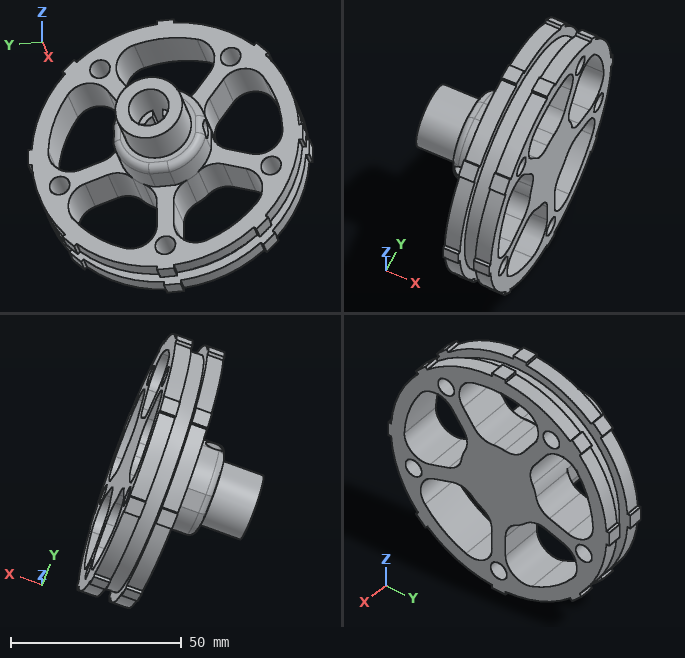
import cadquery as cq
import math

shaft_length = 13.0
hub_length = 11.0
flange_width = 5.0
groove_width = 5.0
wheel_width = 2 * flange_width + groove_width
hub_start = shaft_length
wheel_start = hub_start + hub_length

tread_reach = 41.0
tread_width = 5.0
tread_count = 8
flange_radius = 40.0
groove_radius = 74.0 / 2

spoke_count = 5
spoke_width = 5.0
window_outer_radius = 35.0
window_corner_radius = 7.2
spoke_hole_diameter = 6.0
spoke_hole_radius = 33.2

hub_radius = 14.0
hub_flat_width = 6.0
hub_edge_radius = 2.5
cross_hole_diameter = 5.4
cross_hole_x = 16.8

shaft_diameter = 20.0
bore_diameter = 12.0
bore_depth = shaft_length
key_core_diameter = 8.0
key_slot_width = 3.1
key_depth = hub_length


def disc(radius, start, length):
    """Cylinder about the X axis."""
    return cq.Workplane("YZ").workplane(offset=start).circle(radius).extrude(length)


def bar(start, length, width, height):
    """Rectangular bar along the X axis, centred on that axis."""
    return cq.Workplane("YZ").workplane(offset=start).rect(width, height).extrude(length)


def flange(start):
    """Rim flange with evenly spaced tread blocks on its edge."""
    body = disc(flange_radius, start, flange_width)
    for index in range(tread_count // 2):
        tread_pair = bar(start, flange_width, tread_width, 2 * tread_reach)
        body = body.union(tread_pair.rotate((0, 0, 0), (1, 0, 0), index * 360 / tread_count))
    return body


def window_cutter():
    """Rounded opening between two spokes, centred on +Z."""
    half_angle = math.pi / spoke_count
    half_spoke = spoke_width / 2

    def spoke_side_point(radius):
        angle = half_angle - math.asin(half_spoke / radius)
        return radius * math.sin(angle), radius * math.cos(angle)

    inner_y, inner_z = spoke_side_point(hub_radius)
    outer_y, outer_z = spoke_side_point(window_outer_radius)
    return (
        cq.Workplane("YZ")
        .workplane(offset=wheel_start)
        .moveTo(-inner_y, inner_z)
        .lineTo(-outer_y, outer_z)
        .threePointArc((0, window_outer_radius), (outer_y, outer_z))
        .lineTo(inner_y, inner_z)
        .threePointArc((0, hub_radius), (-inner_y, inner_z))
        .close()
        .extrude(wheel_width)
        .edges("|X")
        .fillet(window_corner_radius)
    )


def make_wheel():
    """Grooved wheel with spokes, windows and a hole at the end of each spoke."""
    wheel = disc(groove_radius, wheel_start, wheel_width)
    for start in (wheel_start, wheel_start + flange_width + groove_width):
        wheel = wheel.union(flange(start))
    window = window_cutter()
    spoke_hole = disc(spoke_hole_diameter / 2, wheel_start, wheel_width).translate((0, 0, -spoke_hole_radius))
    for index in range(spoke_count):
        angle = index * 360 / spoke_count
        wheel = wheel.cut(window.rotate((0, 0, 0), (1, 0, 0), angle))
        wheel = wheel.cut(spoke_hole.rotate((0, 0, 0), (1, 0, 0), angle))
    return wheel


def make_hub():
    """Round hub with four narrow flats and a rounded front edge."""
    flat_distance = math.sqrt(hub_radius**2 - (hub_flat_width / 2) ** 2)
    square = bar(hub_start, hub_length, 2 * flat_distance, 2 * flat_distance)
    hub = disc(hub_radius, hub_start, hub_length).intersect(square)
    return hub.faces("<X").edges().fillet(hub_edge_radius)


def make_socket():
    """Round bore followed by a blind cross-shaped key pocket."""
    key_start = bore_depth
    key_pocket = disc(key_core_diameter / 2, key_start, key_depth)
    slots = bar(key_start, key_depth, key_slot_width, bore_diameter)
    slots = slots.union(bar(key_start, key_depth, bore_diameter, key_slot_width))
    slots = slots.intersect(disc(bore_diameter / 2, key_start, key_depth))
    return disc(bore_diameter / 2, 0, bore_depth).union(key_pocket).union(slots)


shaft = disc(shaft_diameter / 2, 0, shaft_length)
cross_hole = (
    cq.Workplane("XZ")
    .center(cross_hole_x, 0)
    .circle(cross_hole_diameter / 2)
    .extrude(hub_radius, both=True)
)

result = make_wheel().union(make_hub()).union(shaft).cut(make_socket()).cut(cross_hole)